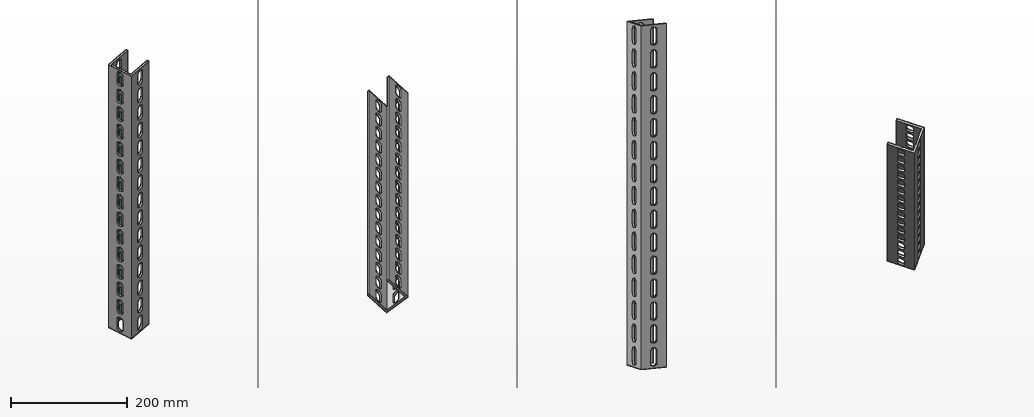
import cadquery as cq

length = 600.0
web_width = 50.0
flange_depth = 50.0
wall_thickness = 4.0

slot_count = 15
slot_pitch = length / slot_count
slot_length = 32.0
slot_width = 13.0


def make_channel():
    """U channel along Z: web on the -Y side, open towards +Y."""
    outside = cq.Workplane("XY").rect(web_width, flange_depth).extrude(length)
    inside = (
        cq.Workplane("XY")
        .center(0, wall_thickness)
        .rect(web_width - 2 * wall_thickness, flange_depth)
        .extrude(length)
    )
    return outside.cut(inside)


def make_slot_row(plane):
    """Sketch a row of upright slots along Z, half a pitch in from each end."""
    centres = [(0, (i + 0.5) * slot_pitch) for i in range(slot_count)]
    return cq.Workplane(plane).pushPoints(centres).slot2D(slot_length, slot_width, 90)


web_slots = make_slot_row("XZ").extrude(flange_depth)

flange_slots = make_slot_row("YZ").extrude(web_width, both=True)

result = make_channel().cut(web_slots).cut(flange_slots)